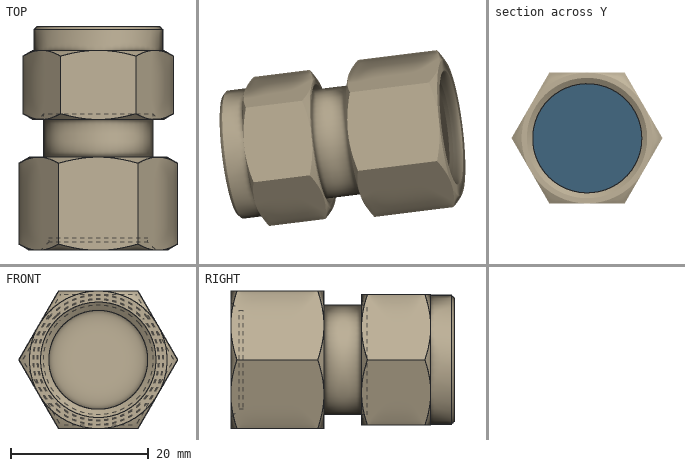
import cadquery as cq
import math

total_length = 32.5
front_nut_length = 13.52
neck_length = 5.45
rear_nut_length = 10.05
front_face = -total_length / 2
neck_start = front_face + front_nut_length
rear_nut_start = neck_start + neck_length
collar_start = rear_nut_start + rear_nut_length
collar_length = total_length / 2 - collar_start

front_nut_flats = 20.0
rear_nut_flats = 18.98
neck_diameter = 15.92
collar_diameter = 18.75
collar_chamfer = 0.5
nut_chamfer_angle = 30.0

recess_mouth_diameter = 16.77
recess_floor_diameter = 14.35
recess_cone_depth = (recess_mouth_diameter - recess_floor_diameter) / 2
recess_bore_depth = 0.6

countersink_diameter = 17.5
countersink_depth = (countersink_diameter - neck_diameter) / 2


def plane_at(y):
    """Plane across the axis, with its normal along +Y."""
    return cq.Workplane(cq.Plane(origin=(0, y, 0), xDir=(1, 0, 0), normal=(0, 1, 0)))


def cylinder(start, length, diameter):
    return plane_at(start).circle(diameter / 2).extrude(length)


def cone(start, length, start_diameter, end_diameter):
    return (
        plane_at(start)
        .circle(start_diameter / 2)
        .workplane(offset=length)
        .circle(end_diameter / 2)
        .loft(ruled=True)
    )


def hex_nut(start, length, flats):
    """Hexagon with corners on X, both ends turned down to the flats' circle."""
    corners = flats / math.cos(math.radians(30))
    prism = plane_at(start).polygon(6, corners).extrude(length)
    end_radius = flats / 2
    corner_radius = corners / 2
    bevel = (corner_radius - end_radius) * math.tan(math.radians(nut_chamfer_angle))
    end = start + length
    turned_blank = (
        cq.Workplane("XY")
        .polyline([
            (0, start),
            (end_radius, start),
            (corner_radius, start + bevel),
            (corner_radius, end - bevel),
            (end_radius, end),
            (0, end),
        ])
        .close()
        .revolve(360, (0, 0, 0), (0, 1, 0))
    )
    return prism.intersect(turned_blank)


front_nut = hex_nut(front_face, front_nut_length, front_nut_flats)
neck = cylinder(neck_start, neck_length + countersink_depth, neck_diameter)
rear_nut = hex_nut(rear_nut_start, rear_nut_length, rear_nut_flats)
collar = cylinder(collar_start, collar_length, collar_diameter).faces(">Y").chamfer(collar_chamfer)

recess_cone = cone(front_face, recess_cone_depth, recess_mouth_diameter, recess_floor_diameter)
recess_bore = cylinder(front_face + recess_cone_depth, recess_bore_depth, recess_floor_diameter)

countersink = cone(rear_nut_start, countersink_depth, countersink_diameter, neck_diameter)

result = (
    rear_nut.cut(countersink)
    .union(neck)
    .union(front_nut)
    .union(collar)
    .cut(recess_cone)
    .cut(recess_bore)
)